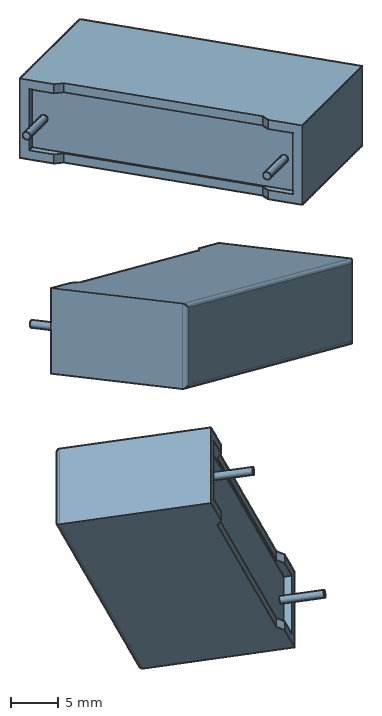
import cadquery as cq

length = 32.3
height = 9.2
total_depth = 21.1
pin_reach = 3.97
case_depth = total_depth - pin_reach

wall = 1.05
back_edge_radius = 0.45
notch_inset = 3.9
notch_ramp = 0.87
notch_depth = 0.65

fill_recess = 0.87
pin_diameter = 0.87
pin_pitch = 27.5

cavity_length = length - 2 * wall
cavity_height = height - 2 * wall
back_wall_y = case_depth - wall


def block(size_x, size_z, y_start, y_end):
    """Box centred on X and Z that spans the given Y range."""
    return (
        cq.Workplane("XY")
        .box(size_x, y_end - y_start, size_z, centered=(True, False, True))
        .translate((0, y_start, 0))
    )


def make_notch():
    """Trapezoidal prism that lowers both long walls at the open end."""
    mouth_half = length / 2 - notch_inset
    floor_half = mouth_half - notch_ramp
    return (
        cq.Workplane("XY")
        .polyline([
            (-mouth_half, 0),
            (mouth_half, 0),
            (floor_half, notch_depth),
            (-floor_half, notch_depth),
        ])
        .close()
        .extrude(height / 2, both=True)
    )


def make_case():
    """Open box with a rounded back rim and a notch in each long wall."""
    shell = block(length, height, 0, case_depth).faces(">Y").edges().fillet(back_edge_radius)
    cavity = block(cavity_length, cavity_height, 0, back_wall_y)
    return shell.cut(cavity).cut(make_notch())


def make_filling():
    """Block that fills the cavity up to just below the notch floor."""
    return block(cavity_length, cavity_height, fill_recess, back_wall_y)


def make_pin(x):
    """Round lead that stands on the filling and points toward -Y."""
    return (
        cq.Workplane("XZ", origin=(x, fill_recess, 0))
        .circle(pin_diameter / 2)
        .extrude(fill_recess + pin_reach)
    )


case = make_case()
filling = make_filling()
pins = [make_pin(side * pin_pitch / 2) for side in (-1, 1)]

result = cq.Compound.makeCompound([case.val(), filling.val(), *[pin.val() for pin in pins]])